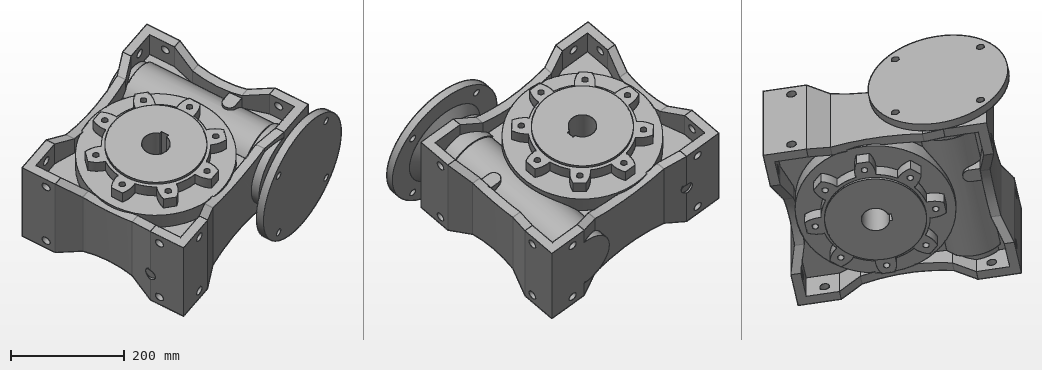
import cadquery as cq
import math

case_half_x = 170.0
case_front_y = -170.0
case_back_y = 229.5
case_mid_y = (case_front_y + case_back_y) / 2
case_half_y = (case_back_y - case_front_y) / 2
case_half_z = 92.0
wall = 18.0
web_half_z = 39.0

waist_inset = 15.0
waist_sag = 2.0
waist_outer_x = 100.0
waist_inner_x = 52.0
waist_outer_y = 122.5
waist_inner_y = 82.5
rim_slope_z_x = 72.5
rim_slope_z_y = 77.0
rim_low_z = 66.5

disc_radius = 141.5
disc_half_z = 71.0
lug_half_z = 95.2
ring_radius = 96.0
lug_count = 8
lug_middle_half_width = 18.2
lug_tip_half_width = 11.5
lug_middle_radius = 99.5
lug_tip_radius = 124.5
lug_hole_circle_radius = 107.5
lug_hole_diameter = 11.0
lug_hole_depth = 26.5
drill_tip_angle = 118
pilot_radius = 90.0
pilot_half_z = 100.0
bore_radius = 25.0
key_width = 14.2
key_top = 29.0

worm_y = 150.0
worm_radius = 62.0
worm_left_x = -139.7
worm_right_x = 124.0
left_boss_radius = 58.0
right_collar_radius = 64.0
right_boss_radius = 78.0

filler_x = 39.0
filler_y = 176.0
filler_radius = 13.0
filler_half_z = 66.0

mount_hole_diameter = 17.0
mount_hole_z = 72.0
mount_hole_x = 119.3
mount_hole_front_y = -119.3
mount_hole_back_y = 180.0
plug_diameter = 23.0
plug_depth = 4.0
front_plug_x = 99.2
front_plug_z = -24.5
left_plug_y = -95.0

flange_radius = 125.0
flange_thickness = 15.0
flange_outer_x = 210.0
flange_inner_x = flange_outer_x - flange_thickness
neck_small_radius = 51.5
neck_large_radius = 84.0
flange_hole_count = 4
flange_hole_circle_radius = 107.5
flange_hole_diameter = 14.0


def cylinder_x(radius, x_start, x_end):
    """Cylinder on the worm axis between two X positions."""
    plane = cq.Workplane("YZ", origin=(x_start, worm_y, 0))
    return plane.circle(radius).extrude(x_end - x_start)


def cylinder_z(radius, half_height):
    """Cylinder on the wheel axis, centred on the web."""
    return cq.Workplane("XY").circle(radius).extrude(half_height, both=True)


def waisted_prism(inset, half_height):
    """Case outline moved inward by inset and extruded to both sides of the web."""
    x = case_half_x - inset
    y = case_half_y - inset
    waist_x = x - waist_inset
    waist_y = y - waist_inset
    outline = (
        cq.Workplane("XY", origin=(0, case_mid_y, 0))
        .moveTo(x, waist_outer_y)
        .lineTo(x, y)
        .lineTo(waist_outer_x, y)
        .lineTo(waist_inner_x, waist_y)
        .threePointArc((0, waist_y - waist_sag), (-waist_inner_x, waist_y))
        .lineTo(-waist_outer_x, y)
        .lineTo(-x, y)
        .lineTo(-x, waist_outer_y)
        .lineTo(-waist_x, waist_inner_y)
        .threePointArc((-waist_x + waist_sag, 0), (-waist_x, -waist_inner_y))
        .lineTo(-x, -waist_outer_y)
        .lineTo(-x, -y)
        .lineTo(-waist_outer_x, -y)
        .lineTo(-waist_inner_x, -waist_y)
        .threePointArc((0, -waist_y + waist_sag), (waist_inner_x, -waist_y))
        .lineTo(waist_outer_x, -y)
        .lineTo(x, -y)
        .lineTo(x, -waist_outer_y)
        .lineTo(waist_x, -waist_inner_y)
        .threePointArc((waist_x - waist_sag, 0), (waist_x, waist_inner_y))
        .close()
    )
    return outline.extrude(half_height, both=True)


def rim_dip(plane, outer_half, inner_half, slope_z, length):
    """Prism above the rim: sloped ends joined by a shallow arc."""
    return (
        plane.moveTo(-outer_half, case_half_z)
        .lineTo(-inner_half, slope_z)
        .threePointArc((0, rim_low_z), (inner_half, slope_z))
        .lineTo(outer_half, case_half_z)
        .close()
        .extrude(length, both=True)
    )


def make_case():
    """Open frame with a solid web across its middle and dipped rims."""
    frame = waisted_prism(0, case_half_z).cut(waisted_prism(wall, case_half_z))
    across_y = rim_dip(
        cq.Workplane("XZ", origin=(0, case_mid_y, 0)),
        waist_outer_x, waist_inner_x, rim_slope_z_x, case_half_y,
    )
    across_x = rim_dip(
        cq.Workplane("YZ", origin=(0, case_mid_y, 0)),
        waist_outer_y, waist_inner_y, rim_slope_z_y, case_half_x,
    )
    for dip in (across_y, across_x):
        frame = frame.cut(dip).cut(dip.mirror("XY"))
    return frame.union(waisted_prism(wall / 2, web_half_z))


def make_lug(angle):
    """One barrel-shaped lug of the cover ring, its inner half buried in the ring."""
    inner_radius = 2 * lug_middle_radius - lug_tip_radius
    return (
        cq.Workplane("XY")
        .moveTo(inner_radius, -lug_tip_half_width)
        .threePointArc((lug_middle_radius, -lug_middle_half_width), (lug_tip_radius, -lug_tip_half_width))
        .lineTo(lug_tip_radius, lug_tip_half_width)
        .threePointArc((lug_middle_radius, lug_middle_half_width), (inner_radius, lug_tip_half_width))
        .close()
        .extrude(lug_half_z, both=True)
        .rotate((0, 0, 0), (0, 0, 1), angle)
    )


def make_lug_hole(angle):
    """Blind drilled hole with a conical tip, entering a lug from its top face."""
    radius = lug_hole_diameter / 2
    tip_length = radius / math.tan(math.radians(drill_tip_angle / 2))
    floor_z = lug_half_z - lug_hole_depth
    return (
        cq.Workplane("XZ")
        .moveTo(0, lug_half_z)
        .lineTo(radius, lug_half_z)
        .lineTo(radius, floor_z)
        .lineTo(0, floor_z - tip_length)
        .close()
        .revolve(360, (0, 0, 0), (0, 1, 0))
        .translate((lug_hole_circle_radius, 0, 0))
        .rotate((0, 0, 0), (0, 0, 1), angle)
    )


def make_covers():
    """Discs, lugged rings and pilots on both sides of the case."""
    covers = cylinder_z(disc_radius, disc_half_z)
    covers = covers.union(cylinder_z(ring_radius, lug_half_z))
    for index in range(lug_count):
        covers = covers.union(make_lug(index * 360 / lug_count))
    return covers.union(cylinder_z(pilot_radius, pilot_half_z))


def make_worm_housing():
    """Worm tube with stepped ends that pass through the left and right walls."""
    boss_start_x = case_half_x - wall
    return (
        cylinder_x(worm_radius, worm_left_x, worm_right_x)
        .union(cylinder_x(left_boss_radius, -case_half_x, worm_left_x))
        .union(cylinder_x(right_collar_radius, worm_right_x, boss_start_x))
        .union(cylinder_x(right_boss_radius, boss_start_x, case_half_x))
    )


def make_filler_boss():
    """Round-ended boss that runs from the worm tube into the back wall."""
    wall_y = case_back_y - wall - waist_inset
    end = cq.Workplane("XY").center(filler_x, filler_y).circle(filler_radius)
    length = wall_y - filler_y
    block = cq.Workplane("XY").center(filler_x, filler_y + length / 2).rect(2 * filler_radius, length)
    return end.extrude(filler_half_z, both=True).union(block.extrude(filler_half_z, both=True))


def make_bore():
    """Through bore with a keyway on its +Y side."""
    key = cq.Workplane("XY").center(0, key_top / 2).rect(key_width, key_top)
    return cylinder_z(bore_radius, pilot_half_z).union(key.extrude(pilot_half_z, both=True))


def make_mount_holes():
    """Holes through the wall corners, above and below the web; none behind the motor flange."""
    heights = (-mount_hole_z, mount_hole_z)
    radius = mount_hole_diameter / 2
    front_points = [(x, z) for x in (-mount_hole_x, mount_hole_x) for z in heights]
    right_points = [(mount_hole_front_y, z) for z in heights]
    left_points = right_points + [(mount_hole_back_y, z) for z in heights]
    holes = []
    for y in (case_front_y + wall, case_back_y):
        plane = cq.Workplane("XZ", origin=(0, y, 0))
        holes.append(plane.pushPoints(front_points).circle(radius).extrude(wall))
    for x, points in ((-case_half_x, left_points), (case_half_x - wall, right_points)):
        plane = cq.Workplane("YZ", origin=(x, 0, 0))
        holes.append(plane.pushPoints(points).circle(radius).extrude(wall))
    return holes


def make_plug_recesses():
    """Shallow round recesses in the front and left walls."""
    front = cq.Workplane("XZ", origin=(front_plug_x, case_front_y, front_plug_z))
    left = cq.Workplane("YZ", origin=(-case_half_x, left_plug_y, 0))
    radius = plug_diameter / 2
    return [front.circle(radius).extrude(-plug_depth), left.circle(radius).extrude(plug_depth)]


def make_housing():
    """Gear case with its covers, worm housing, filler boss and all holes."""
    housing = make_case().union(make_worm_housing()).union(make_filler_boss()).union(make_covers())
    housing = housing.cut(make_bore())
    for index in range(lug_count):
        hole = make_lug_hole(index * 360 / lug_count)
        housing = housing.cut(hole).cut(hole.mirror("XY"))
    for cutter in make_mount_holes() + make_plug_recesses():
        housing = housing.cut(cutter)
    return housing


def make_motor_flange():
    """Flange plate on a conical neck that seats on the right boss."""
    flange = (
        cq.Workplane("XY")
        .moveTo(case_half_x, 0)
        .lineTo(case_half_x, neck_small_radius)
        .lineTo(flange_inner_x, neck_large_radius)
        .lineTo(flange_inner_x, flange_radius)
        .lineTo(flange_outer_x, flange_radius)
        .lineTo(flange_outer_x, 0)
        .close()
        .revolve(360, (0, 0, 0), (1, 0, 0))
        .translate((0, worm_y, 0))
    )
    bolt_holes = (
        cq.Workplane("YZ", origin=(flange_inner_x, worm_y, 0))
        .polarArray(flange_hole_circle_radius, 180 / flange_hole_count, 360, flange_hole_count)
        .circle(flange_hole_diameter / 2)
        .extrude(flange_thickness)
    )
    return flange.cut(bolt_holes)


housing = make_housing()
motor_flange = make_motor_flange()

result = cq.Compound.makeCompound([housing.val(), motor_flange.val()])